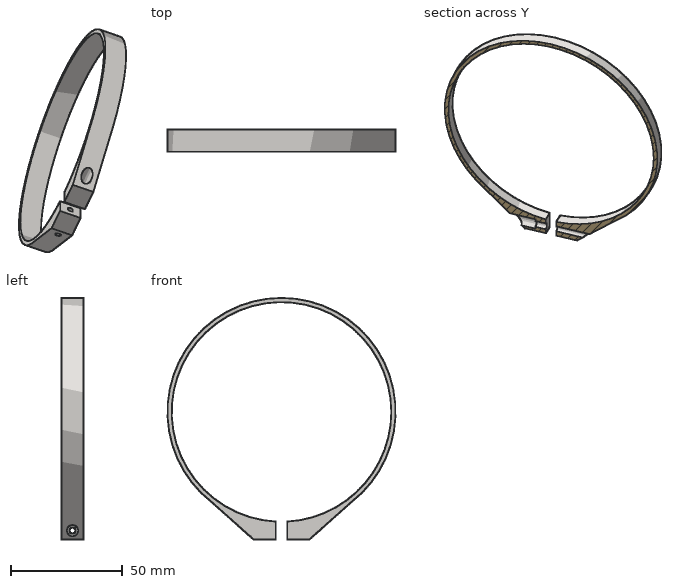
import cadquery as cq
import math

outer_radius = 51.0
wall = 2.0
inner_radius = outer_radius - wall
width = 10.0

lug_bottom_z = -57.0
lug_half_width = 12.5
gap = 5.0
flank_join_angle = math.radians(37.6)

screw_height = 4.0
screw_z = lug_bottom_z + screw_height
tapped_diameter = 2.5
clearance_diameter = 3.0
head_diameter = 5.0
head_seat_x = -(lug_half_width + gap / 2) / 2


def plate(sketch):
    """Extrude an XZ sketch over the full width of the ring, centred on Y."""
    return sketch.extrude(width)


def xz_sketch():
    return cq.Workplane("XZ", origin=(0, width / 2, 0))


def disc(radius):
    return plate(xz_sketch().circle(radius))


def lug_block():
    """Block under the ring, with straight flanks rising to the outer circle."""
    join_x = outer_radius * math.sin(flank_join_angle)
    join_z = -outer_radius * math.cos(flank_join_angle)
    outline = [
        (0, 0),
        (-join_x, join_z),
        (-lug_half_width, lug_bottom_z),
        (lug_half_width, lug_bottom_z),
        (join_x, join_z),
    ]
    return plate(xz_sketch().polyline(outline).close())


def split_gap():
    """Slot that opens the ring between the two lugs."""
    return plate(xz_sketch().center(0, lug_bottom_z / 2).rect(gap, -lug_bottom_z))


def x_cylinder(diameter, start_x, end_x):
    """Cylinder on the screw axis between two X positions."""
    return (
        cq.Workplane("YZ", origin=(start_x, 0, screw_z))
        .circle(diameter / 2)
        .extrude(end_x - start_x)
    )


ring_with_lugs = disc(outer_radius).union(lug_block()).cut(disc(inner_radius))
tapped_hole = x_cylinder(tapped_diameter, 0, outer_radius)
clearance_hole = x_cylinder(clearance_diameter, -outer_radius, 0)
head_counterbore = x_cylinder(head_diameter, -outer_radius, head_seat_x)

result = (
    ring_with_lugs.cut(split_gap())
    .cut(tapped_hole)
    .cut(clearance_hole)
    .cut(head_counterbore)
)